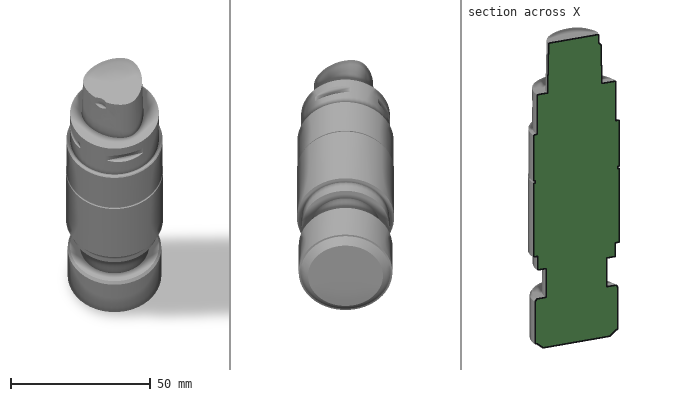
import cadquery as cq
import math

total_height = 116.2
nut_cone_height = 2.1
nut_top = 19.3
neck_top = 30.1
collar_top = 35.3
joint_bottom = 63.7
joint_top = 64.4
upper_body_top = 82.2
flange_top = 97.3

nut_tip_diameter = 27.0
nut_cone_diameter = 32.3
nut_diameter = 33.7
neck_diameter = 24.9
collar_diameter = 31.5
body_diameter = 35.0
upper_body_diameter = 34.6
joint_diameter = 33.7
flange_diameter = 32.0

nut_chamfer_height = 1.0
nut_chamfer_width = 0.8
shoulder_chamfer = 0.3

shank_base_width = 22.2
shank_taper = 1 / 20
lobe_offset = 0.7
lobe_count = 3
first_lobe_angle = 90.0
lobe_half_span = 23.0
spline_steps = 8

notch_radius = 3.8
notch_depth = 0.8
notch_wall_height = 3.4

groove_count = 4
groove_first_angle = 45.0
groove_center_height = 91.3
groove_floor_height = 2.5
groove_floor_length = 13.6
groove_side_angle = 30.0

shank_top_width = shank_base_width - shank_taper * (total_height - flange_top)


def make_turned_body():
    """Revolve the nut, neck, collar, body and flange about Z."""
    nut_radius = nut_diameter / 2
    body_radius = body_diameter / 2
    upper_radius = upper_body_diameter / 2
    profile = [
        (0, 0),
        (nut_tip_diameter / 2, 0),
        (nut_cone_diameter / 2, nut_cone_height),
        (nut_radius, nut_cone_height),
        (nut_radius, nut_top - nut_chamfer_height),
        (nut_radius - nut_chamfer_width, nut_top),
        (neck_diameter / 2, nut_top),
        (neck_diameter / 2, neck_top),
        (collar_diameter / 2, neck_top),
        (collar_diameter / 2, collar_top),
        (body_radius, collar_top),
        (body_radius, joint_bottom),
        (joint_diameter / 2, joint_bottom),
        (joint_diameter / 2, joint_top),
        (upper_radius, joint_top),
        (upper_radius, upper_body_top - shoulder_chamfer),
        (upper_radius - shoulder_chamfer, upper_body_top),
        (flange_diameter / 2, upper_body_top),
        (flange_diameter / 2, flange_top),
        (0, flange_top),
    ]
    return cq.Workplane("XZ").polyline(profile).close().revolve(360, (0, 0), (0, 1))


def shank_point(width, angle, height):
    """Point of the constant-width curve whose outward normal has this angle."""
    normal = math.radians(angle)
    phase = lobe_count * (normal - math.radians(first_lobe_angle))
    reach = width / 2 + lobe_offset * math.cos(phase)
    slope = -lobe_count * lobe_offset * math.sin(phase)
    x = reach * math.cos(normal) - slope * math.sin(normal)
    y = reach * math.sin(normal) + slope * math.cos(normal)
    return cq.Vector(x, y, height)


def shank_section(width, height):
    """Closed outline, split where each lobe meets a flatter flank."""
    edges = []
    pitch = 360 / lobe_count
    for lobe in range(lobe_count):
        center = first_lobe_angle + lobe * pitch
        limits = [center - lobe_half_span, center + lobe_half_span, center + pitch - lobe_half_span]
        for start, end in zip(limits, limits[1:]):
            step = (end - start) / spline_steps
            points = [shank_point(width, start + i * step, height) for i in range(spline_steps + 1)]
            tangents = [
                cq.Vector(-math.sin(math.radians(a)), math.cos(math.radians(a)), 0)
                for a in (start, end)
            ]
            edges.append(cq.Edge.makeSpline(points, tangents=tangents))
    return cq.Wire.assembleEdges(edges)


def make_shank():
    base = shank_section(shank_base_width, flange_top)
    top = shank_section(shank_top_width, total_height)
    return cq.Workplane(obj=cq.Solid.makeLoft([base, top], True))


def make_notch():
    """Upright round cutter with a 45 degree conical lower end."""
    flank_y = lobe_offset - shank_top_width / 2
    axis_y = flank_y + notch_depth - notch_radius
    wall_bottom = total_height - notch_wall_height
    profile = [
        (0, wall_bottom - notch_radius),
        (notch_radius, wall_bottom),
        (notch_radius, total_height),
        (0, total_height),
    ]
    cutter = cq.Workplane("XZ").polyline(profile).close().revolve(360, (0, 0), (0, 1))
    return cutter.translate((0, axis_y, 0))


def make_groove(angle):
    """Straight trapezoidal groove across the flange, facing the given angle."""
    outer = body_diameter / 2
    floor = math.sqrt((flange_diameter / 2) ** 2 - (groove_floor_length / 2) ** 2)
    inner_half = groove_floor_height / 2
    outer_half = inner_half + (outer - floor) * math.tan(math.radians(groove_side_angle))
    profile = [
        (floor, groove_center_height - inner_half),
        (outer, groove_center_height - outer_half),
        (outer, groove_center_height + outer_half),
        (floor, groove_center_height + inner_half),
    ]
    cutter = cq.Workplane("XZ").polyline(profile).close().extrude(outer, both=True)
    return cutter.rotate((0, 0, 0), (0, 0, 1), angle)


result = make_turned_body().union(make_shank()).cut(make_notch())
for index in range(groove_count):
    result = result.cut(make_groove(groove_first_angle + index * 360 / groove_count))